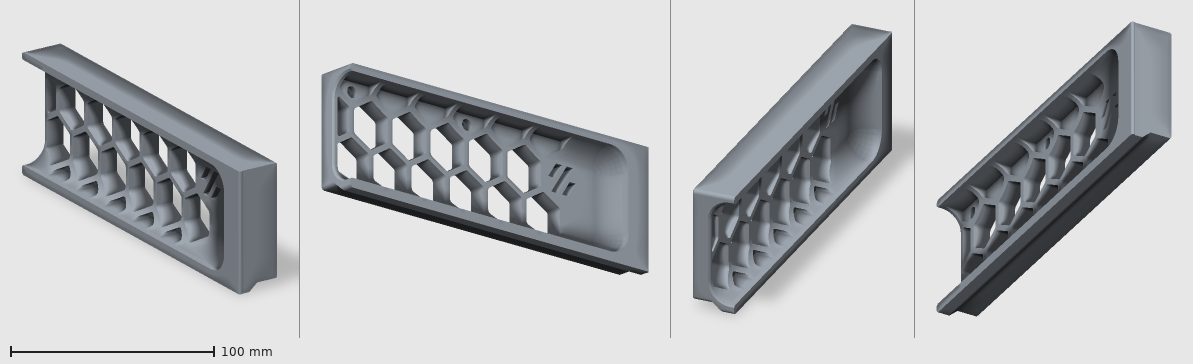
import cadquery as cq
import math

TOLERANCE = 0.02

LENGTH = 195.5
DEPTH = 22.5
HEIGHT = 65.0
END_EDGE_RADIUS = 2.0
BACK_CHAMFER = 0.5

BEAD_RADIUS = 1.2
BEAD_PROTRUSION = 0.4

STEP_HEIGHT = 4.1
SLOPE_FRONT_Y = 6.0
SLOPE_BACK_Y = 10.8

POCKET_DEPTH = 13.1
POCKET_BOTTOM_Z = 5.0
POCKET_TOP_Z = 60.8
POCKET_RIGHT_X = 181.8
POCKET_CORNER_RADIUS = 12.0
POCKET_FLOOR_RADIUS = 11.0
POCKET_END_CHAMFER = 1.0

CELL_WIDTH = 22.0
CELL_WALL = 3.0
CELL_PITCH = CELL_WIDTH + CELL_WALL
ROW_PITCH = CELL_PITCH * math.sin(math.radians(60))
CELL_CORNER_RADIUS = 2.0
CLIP_CORNER_RADIUS = 1.0
CELL_COUNT = 6
GRID_LEFT_X = 3.0
UPPER_ROW_X = -0.2
LOWER_ROW_X = UPPER_ROW_X + CELL_PITCH / 2
LOWER_ROW_Z = 19.4
UPPER_ROW_Z = LOWER_ROW_Z + ROW_PITCH

HOLE_DIAMETER = 3.1
HOLE_HEAD_DIAMETER = 6.0
HOLE_HEAD_DEPTH = 3.1
HOLE_Z = 55.5
HOLE_CELLS = (0, 3)

SLOT_CENTER_X = 149.8
SLOT_CENTER_Z = UPPER_ROW_Z
SLOT_WIDTH = 4.1
SLOT_SPACING = 7.0
SLOT_HALF_HEIGHT = 7.6
SLOT_SLANT = 2 / 3


def front_plane():
    """Sketch plane on the front face with axes X and Z; negative extrusions run into the part."""
    return cq.Workplane("XZ")


def front_box(x_min, x_max, z_min, z_max, depth):
    """Box reaching from the front face to the given depth."""
    size = (x_max - x_min, depth, z_max - z_min)
    return cq.Workplane("XY").box(*size, centered=False).translate((x_min, 0, z_min))


def make_bar(bottom_z):
    """Full-depth bar with its upper and lower left edges rounded."""
    bar = front_box(0, LENGTH, bottom_z, HEIGHT, DEPTH)
    bar = bar.edges("<X and |Y").fillet(END_EDGE_RADIUS)
    return bar.faces(">Y").edges("|X").chamfer(BACK_CHAMFER)


def make_plan():
    """Plan outline, extruded; its right end has a round bead along the front, just proud of the end face."""
    end_x = LENGTH - BEAD_PROTRUSION
    bead_center_x = LENGTH - BEAD_RADIUS
    bead_back_y = BEAD_RADIUS + math.sqrt(BEAD_RADIUS**2 - (end_x - bead_center_x) ** 2)
    return (
        cq.Workplane("XY")
        .lineTo(bead_center_x, 0)
        .threePointArc((LENGTH, BEAD_RADIUS), (end_x, bead_back_y))
        .lineTo(end_x, DEPTH)
        .lineTo(0, DEPTH)
        .close()
        .extrude(HEIGHT)
    )


def make_block():
    """Bar with a stepped underside: a lip at the front runs up a slope to the raised back."""
    slope = STEP_HEIGHT / (SLOPE_BACK_Y - SLOPE_FRONT_Y)
    lip_profile = [
        (0, 0),
        (SLOPE_FRONT_Y, 0),
        (DEPTH, (DEPTH - SLOPE_FRONT_Y) * slope),
        (DEPTH, HEIGHT),
        (0, HEIGHT),
    ]
    above_slope = cq.Workplane("YZ").polyline(lip_profile).close().extrude(LENGTH)
    block = make_bar(STEP_HEIGHT).union(make_bar(0).intersect(above_slope))
    return block.intersect(make_plan())


def make_pocket():
    """Rounded pocket body, left long on the open side so that end stays square."""
    overrun = POCKET_CORNER_RADIUS
    pocket = front_box(-overrun, POCKET_RIGHT_X, POCKET_BOTTOM_Z, POCKET_TOP_Z, POCKET_DEPTH)
    pocket = pocket.edges("|Y and >X").fillet(POCKET_CORNER_RADIUS)
    return pocket.faces(">Y").edges("not <X").fillet(POCKET_FLOOR_RADIUS)


def chamfer_pocket_end(body):
    """Break the edge where the pocket runs out through the left end."""
    pocket_mouth = cq.selectors.BoxSelector(
        (-TOLERANCE, TOLERANCE, POCKET_BOTTOM_Z - TOLERANCE),
        (TOLERANCE, POCKET_DEPTH + TOLERANCE, POCKET_TOP_Z + TOLERANCE),
    )
    return body.faces("<X").edges(pocket_mouth).chamfer(POCKET_END_CHAMFER)


def is_clip_edge(edge):
    """True for cell edges on the left, lower or upper limit of the honeycomb."""
    center = edge.Center()
    distances = (center.x - GRID_LEFT_X, center.z - POCKET_BOTTOM_Z, center.z - POCKET_TOP_Z)
    return min(abs(distance) for distance in distances) < TOLERANCE


def make_cell(x, z, y_end):
    """Hexagonal prism from the front face to y_end, clipped to the pocket outline."""
    across_corners = CELL_WIDTH / math.cos(math.radians(30))
    cell = (
        front_plane()
        .center(x, z)
        .transformed(rotate=(0, 0, 90))
        .polygon(6, across_corners)
        .extrude(-y_end)
    )
    cell = cell.edges("|Y").fillet(CELL_CORNER_RADIUS)
    limits = front_box(GRID_LEFT_X, POCKET_RIGHT_X, POCKET_BOTTOM_Z, POCKET_TOP_Z, y_end)
    cell = cell.intersect(limits)
    clip_edges = cell.edges("|Y").filter(is_clip_edge)
    if clip_edges.size() > 0:
        cell = clip_edges.fillet(CLIP_CORNER_RADIUS)
    return cell


def cut_row(body, first_x, z, y_end, first_cell=0):
    for index in range(first_cell, CELL_COUNT):
        body = body.cut(make_cell(first_x + index * CELL_PITCH, z, y_end))
    return body


def cut_screw_hole(body, x):
    shank = front_plane().center(x, HOLE_Z).circle(HOLE_DIAMETER / 2).extrude(-DEPTH)
    head_end_y = POCKET_DEPTH + HOLE_HEAD_DEPTH
    head = front_plane().center(x, HOLE_Z).circle(HOLE_HEAD_DIAMETER / 2).extrude(-head_end_y)
    return body.cut(shank).cut(head)


def make_slot(center_x, low, high):
    """Slanted slot; center_x is taken at SLOT_CENTER_Z, low and high are relative to it."""
    corners = [
        (center_x + SLOT_SLANT * height + side * SLOT_WIDTH / 2, SLOT_CENTER_Z + height)
        for height, side in ((low, -1), (low, 1), (high, 1), (high, -1))
    ]
    return front_plane().polyline(corners).close().extrude(-DEPTH)


body = chamfer_pocket_end(make_block().cut(make_pocket()))

body = cut_row(body, UPPER_ROW_X, UPPER_ROW_Z, DEPTH)
body = cut_row(body, LOWER_ROW_X, LOWER_ROW_Z, DEPTH)

body = cut_row(body, LOWER_ROW_X, UPPER_ROW_Z + ROW_PITCH, POCKET_DEPTH)
body = cut_row(body, UPPER_ROW_X, LOWER_ROW_Z - ROW_PITCH, POCKET_DEPTH, first_cell=1)

for cell_index in HOLE_CELLS:
    body = cut_screw_hole(body, LOWER_ROW_X + cell_index * CELL_PITCH)

body = body.cut(make_slot(SLOT_CENTER_X - SLOT_SPACING, 0, SLOT_HALF_HEIGHT))
body = body.cut(make_slot(SLOT_CENTER_X, -SLOT_HALF_HEIGHT, SLOT_HALF_HEIGHT))
body = body.cut(make_slot(SLOT_CENTER_X + SLOT_SPACING, -SLOT_HALF_HEIGHT, 0))

result = body